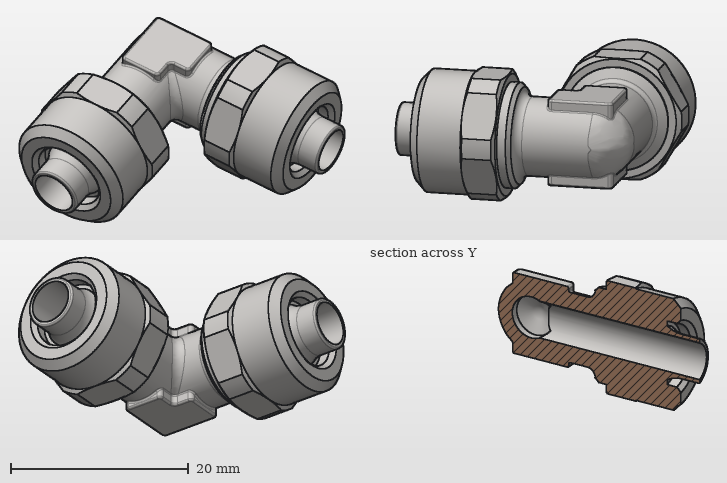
import cadquery as cq
import math

body_radius = 4.5
outer_bend_radius = 4.0
inner_bend_radius = 1.0

collar_radius = 6.0
collar_end = 11.0
x_collar = {
    "fillet_start": 7.5,
    "fillet_radius": 1.0,
    "fillet_turn": math.radians(90),
    "cone_slope": math.radians(45),
}
y_collar = {
    "fillet_start": 8.5,
    "fillet_radius": 0.8,
    "fillet_turn": math.radians(60),
    "cone_slope": math.radians(60),
}

nut_start = 10.0
hex_end = 14.0
nut_end = 20.0
across_flats = 14.0
hexagon_turn = 30
hex_corner_radius = 7.5
hex_face_radius = 6.9
hex_chamfer_angle = math.radians(30)
barrel_radius = across_flats / 2
barrel_chamfer = 1.0

recess_radius = 4.05
recess_depth = 1.85
recess_chamfer = 0.55

stem_end = 22.5
stem_radius = 3.0
stem_edge_radius = 0.2
stem_foot_radius = 3.55
bore_radius = 2.5
drill_overrun = 2.0
drill_tip_angle = math.radians(130)

pad_height = 10.0
pad_outer = 2.5
pad_reach = 5.0
pad_corner_radius = 0.5
pad_edge_radius = 0.25
pad_foot_radius = 0.2
pad_foot_low = 3.0


def revolve_about_x(profile):
    """Turn a closed XY profile a full revolution about the X axis."""
    return profile.close().revolve(360, (0, 0, 0), (1, 0, 0))


def turn_to_y_arm(feature):
    """Turn a feature of the +X arm onto the -Y arm."""
    return feature.rotate((0, 0, 0), (0, 0, 1), -90)


def make_body():
    """Mitred round elbow with wrench pads and blended bends."""
    x_end = x_collar["fillet_start"]
    y_end = y_collar["fillet_start"]
    path = cq.Workplane("XY").moveTo(x_end, 0).lineTo(0, 0).lineTo(0, -y_end)
    section_plane = cq.Plane(origin=(x_end, 0, 0), xDir=(0, 0, 1), normal=(1, 0, 0))
    section = cq.Workplane(section_plane).circle(body_radius)
    elbow = section.sweep(path, transition="right")
    body = elbow.union(make_pad())

    outer_mitre = cq.selectors.NearestToPointSelector((-body_radius, body_radius, 0))
    body = body.edges(outer_mitre).fillet(outer_bend_radius)
    inner_mitre = cq.selectors.NearestToPointSelector((body_radius, -body_radius, 0))
    body = body.edges(inner_mitre).fillet(inner_bend_radius)

    for side in (-1, 1):
        foot_zone = cq.selectors.BoxSelector(
            (-body_radius, -pad_reach - pad_foot_radius, side * pad_foot_low),
            (pad_reach + pad_foot_radius, body_radius, side * body_radius),
        )
        body = body.edges(foot_zone).edges("not |Z").fillet(pad_foot_radius)
    return body


def make_pad():
    """L-shaped prism through the elbow with rounded corners and rims."""
    outline = [
        (-pad_outer, pad_outer),
        (pad_reach, pad_outer),
        (pad_reach, -pad_outer),
        (pad_outer, -pad_outer),
        (pad_outer, -pad_reach),
        (-pad_outer, -pad_reach),
    ]
    pad = cq.Workplane("XY").polyline(outline).close().extrude(pad_height / 2, both=True)
    pad = pad.edges("|Z").fillet(pad_corner_radius)
    return pad.faces("|Z").edges().fillet(pad_edge_radius)


def make_collar(fillet_start, fillet_radius, fillet_turn, cone_slope):
    """Cone-edged collar with a fillet down to the body."""

    def fillet_point(angle):
        x = fillet_start + fillet_radius * math.sin(angle)
        r = body_radius + fillet_radius * (1 - math.cos(angle))
        return x, r

    cone_start, cone_start_radius = fillet_point(fillet_turn)
    rim_start = cone_start + (collar_radius - cone_start_radius) / math.tan(cone_slope)
    profile = (
        cq.Workplane("XY")
        .moveTo(fillet_start, 0)
        .lineTo(fillet_start, body_radius)
        .threePointArc(fillet_point(fillet_turn / 2), (cone_start, cone_start_radius))
        .lineTo(rim_start, collar_radius)
        .lineTo(collar_end, collar_radius)
        .lineTo(collar_end, 0)
    )
    return revolve_about_x(profile)


def make_nut():
    """Hexagon with turned corners, followed by the chamfered barrel."""
    hex_length = hex_end - nut_start
    hexagon = (
        cq.Workplane("YZ", origin=(nut_start, 0, 0))
        .polygon(6, across_flats, circumscribed=True)
        .extrude(hex_length)
        .rotate((0, 0, 0), (1, 0, 0), hexagon_turn)
    )
    front_chamfer = (hex_corner_radius - hex_face_radius) * math.tan(hex_chamfer_angle)
    rear_chamfer = (hex_corner_radius - barrel_radius) * math.tan(hex_chamfer_angle)
    turned = revolve_about_x(
        cq.Workplane("XY")
        .moveTo(nut_start, 0)
        .lineTo(nut_start, hex_face_radius)
        .lineTo(nut_start + front_chamfer, hex_corner_radius)
        .lineTo(hex_end - rear_chamfer, hex_corner_radius)
        .lineTo(hex_end, barrel_radius)
        .lineTo(hex_end, 0)
    )
    barrel = (
        cq.Workplane("YZ", origin=(hex_end, 0, 0))
        .circle(barrel_radius)
        .extrude(nut_end - hex_end)
        .faces(">X")
        .chamfer(barrel_chamfer)
    )
    return hexagon.intersect(turned).union(barrel)


def make_recess():
    """Chamfered recess in the nut face; the stem is added back into it."""
    floor = nut_end - recess_depth
    profile = (
        cq.Workplane("XY")
        .moveTo(floor, 0)
        .lineTo(floor, recess_radius)
        .lineTo(nut_end - recess_chamfer, recess_radius)
        .lineTo(nut_end, recess_radius + recess_chamfer)
        .lineTo(nut_end, 0)
    )
    return revolve_about_x(profile)


def make_stem():
    """Hose stem with a rounded rim and a concave flare at its foot."""
    foot = nut_end - recess_depth
    flare_height = stem_foot_radius - stem_radius
    flare_radius = (recess_depth**2 + flare_height**2) / (2 * flare_height)
    flare_angle = math.asin(recess_depth / flare_radius)

    def flare_point(angle):
        x = nut_end - flare_radius * math.sin(angle)
        r = stem_radius + flare_radius * (1 - math.cos(angle))
        return x, r

    profile = (
        cq.Workplane("XY")
        .moveTo(hex_end, 0)
        .lineTo(hex_end, stem_foot_radius)
        .lineTo(foot, stem_foot_radius)
        .threePointArc(flare_point(flare_angle / 2), flare_point(0))
        .lineTo(stem_end, stem_radius)
        .lineTo(stem_end, 0)
    )
    return revolve_about_x(profile).faces(">X").edges().fillet(stem_edge_radius)


def make_bores():
    """Plain bore along +X that opens into a drilled, cone-ended bore along Y."""
    x_bore = cq.Workplane("YZ").circle(bore_radius).extrude(stem_end)
    tip_length = bore_radius / math.tan(drill_tip_angle / 2)
    drilled_bore = revolve_about_x(
        cq.Workplane("XY")
        .moveTo(-drill_overrun - tip_length, 0)
        .lineTo(-drill_overrun, bore_radius)
        .lineTo(stem_end, bore_radius)
        .lineTo(stem_end, 0)
    )
    return x_bore.union(turn_to_y_arm(drilled_bore))


def make_fitting(collar):
    """Collar, nut and stem of one arm, laid out along +X."""
    return make_collar(**collar).union(make_nut()).cut(make_recess()).union(make_stem())


result = (
    make_body()
    .union(make_fitting(x_collar))
    .union(turn_to_y_arm(make_fitting(y_collar)))
    .cut(make_bores())
)